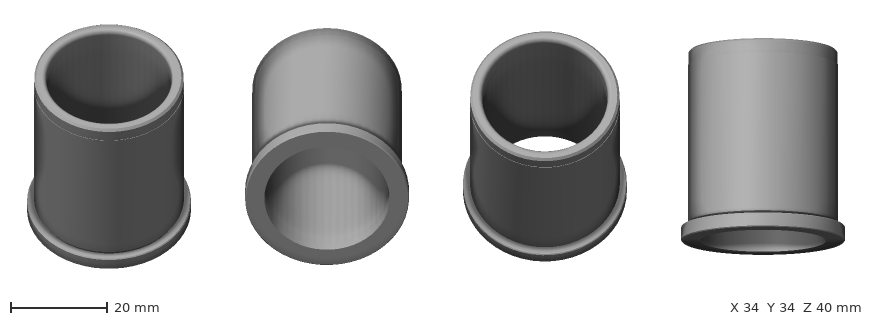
import cadquery as cq

total_height = 40.0
flange_radius = 17.0
flange_height = 3.0
body_radius = 15.55
bore_radius = 13.0

flange_chamfer = 0.2
bore_mouth_radius = 1.0

lead_radius = 15.5
lead_height = 3.0
lead_chamfer = 0.5

undercut_shoulder_height = 0.7
undercut_neck_radius = 15.1
undercut_root_depth = 0.2
undercut_outer_radius = 16.0

lead_bottom = total_height - lead_height
undercut_top = flange_height + undercut_shoulder_height
neck_top = undercut_top - (body_radius - undercut_neck_radius)
undercut_bottom = flange_height - undercut_root_depth

section = (
    cq.Workplane("XZ")
    .moveTo(0, 0)
    .lineTo(flange_radius - flange_chamfer, 0)
    .lineTo(flange_radius, flange_chamfer)
    .lineTo(flange_radius, flange_height - flange_chamfer)
    .lineTo(flange_radius - flange_chamfer, flange_height)
    .lineTo(undercut_outer_radius, flange_height)
    .lineTo(undercut_neck_radius, undercut_bottom)
    .lineTo(undercut_neck_radius, neck_top)
    .lineTo(body_radius, undercut_top)
    .lineTo(body_radius, lead_bottom)
    .lineTo(lead_radius, lead_bottom)
    .lineTo(lead_radius, total_height - lead_chamfer)
    .lineTo(lead_radius - lead_chamfer, total_height)
    .lineTo(0, total_height)
    .close()
)
sleeve = section.revolve(360, (0, 0, 0), (0, 1, 0))

sleeve = sleeve.cut(cq.Workplane("XY").circle(bore_radius).extrude(total_height))
bore_mouth = cq.selectors.RadiusNthSelector(0)
result = sleeve.faces(">Z").edges(bore_mouth).fillet(bore_mouth_radius)